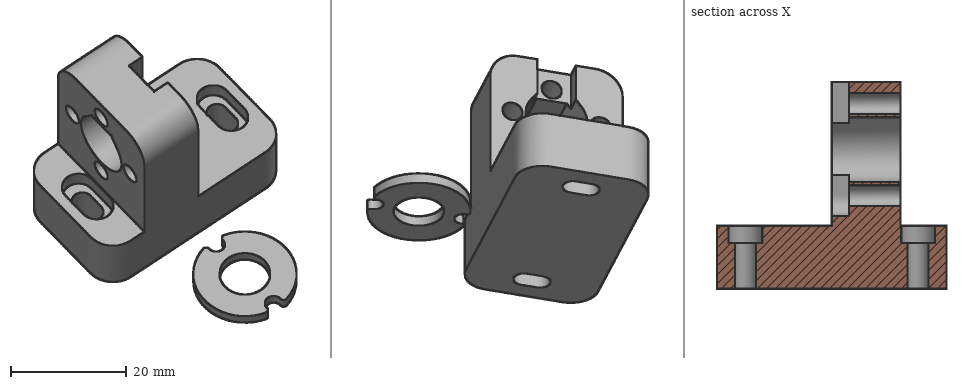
import cadquery as cq
import math

WIDTH = 24.0
BASE_LENGTH = 40.0
BASE_HEIGHT = 11.0
TOTAL_HEIGHT = 36.0
CORNER_RADIUS = 5.0
WALL_FRONT = 8.0
WALL_THICKNESS = 12.0
WALL_BACK = WALL_FRONT + WALL_THICKNESS
CENTER_X = WIDTH / 2

BORE_Z = 24.2
BORE_RADIUS = 5.6
BORE_FLAT_WIDTH = 5.5
SCREW_DIAMETER = 3.6
SCREW_CIRCLE_RADIUS = 8.0
SCREW_COUNT = 4

CHANNEL_WIDTH = 7.0
CHANNEL_DEPTH = 3.0
CHANNEL_CENTER_Z = BORE_Z - SCREW_CIRCLE_RADIUS

SLOT_INSET = 5.0
SLOT_LENGTH = 6.6
SLOT_WIDTH = 3.6
COUNTERBORE_LENGTH = 10.8
COUNTERBORE_WIDTH = 5.8
COUNTERBORE_DEPTH = 3.0

RING_X = 36.95
RING_Y = BASE_LENGTH / 2
RING_RADIUS = 9.0
RING_HOLE_RADIUS = 4.4
RING_THICKNESS = 2.0
NOTCH_WIDTH = 3.0
NOTCH_CENTER_RADIUS = SCREW_CIRCLE_RADIUS
NOTCH_FILLET = 0.65


def make_body():
    base = (
        cq.Workplane("XY")
        .box(WIDTH, BASE_LENGTH, BASE_HEIGHT, centered=False)
        .edges("|Z")
        .fillet(CORNER_RADIUS)
    )
    wall = (
        cq.Workplane("XY", origin=(0, WALL_FRONT, 0))
        .box(WIDTH, WALL_THICKNESS, TOTAL_HEIGHT, centered=False)
        .edges("|Y and >Z")
        .fillet(CORNER_RADIUS)
    )
    return base.union(wall)


def wall_sketch_plane(center_z):
    """XZ plane on the back of the wall; extrusions run toward the front."""
    return cq.Workplane("XZ", origin=(CENTER_X, WALL_BACK, center_z))


def bore_cutter():
    """Round bore whose sides rise along tangents to a flat level with its top."""
    half_flat = BORE_FLAT_WIDTH / 2
    tangent_angle = 2 * math.atan(half_flat / BORE_RADIUS)
    tangent_x = BORE_RADIUS * math.sin(tangent_angle)
    tangent_z = BORE_RADIUS * math.cos(tangent_angle)
    return (
        wall_sketch_plane(BORE_Z)
        .moveTo(-half_flat, BORE_RADIUS)
        .lineTo(half_flat, BORE_RADIUS)
        .lineTo(tangent_x, tangent_z)
        .threePointArc((0, -BORE_RADIUS), (-tangent_x, tangent_z))
        .close()
        .extrude(WALL_THICKNESS)
    )


def screw_hole_cutter():
    return (
        wall_sketch_plane(BORE_Z)
        .polarArray(SCREW_CIRCLE_RADIUS, 0, 360, SCREW_COUNT)
        .circle(SCREW_DIAMETER / 2)
        .extrude(WALL_THICKNESS)
    )


def channel_cutter():
    half_width = CHANNEL_WIDTH / 2
    height = TOTAL_HEIGHT - CHANNEL_CENTER_Z
    return (
        wall_sketch_plane(CHANNEL_CENTER_Z)
        .moveTo(-half_width, height)
        .lineTo(-half_width, 0)
        .threePointArc((0, -half_width), (half_width, 0))
        .lineTo(half_width, height)
        .close()
        .extrude(CHANNEL_DEPTH)
    )


def mounting_slot_cutter(center_y):
    through = (
        cq.Workplane("XY", origin=(CENTER_X, center_y, 0))
        .slot2D(SLOT_LENGTH, SLOT_WIDTH)
        .extrude(BASE_HEIGHT)
    )
    counterbore = (
        cq.Workplane("XY", origin=(CENTER_X, center_y, BASE_HEIGHT - COUNTERBORE_DEPTH))
        .slot2D(COUNTERBORE_LENGTH, COUNTERBORE_WIDTH)
        .extrude(COUNTERBORE_DEPTH)
    )
    return through.union(counterbore)


def make_bracket():
    bracket = make_body().cut(bore_cutter()).cut(screw_hole_cutter()).cut(channel_cutter())
    for center_y in (SLOT_INSET, BASE_LENGTH - SLOT_INSET):
        bracket = bracket.cut(mounting_slot_cutter(center_y))
    return bracket


def make_ring():
    ring = (
        cq.Workplane("XY", origin=(RING_X, RING_Y, 0))
        .circle(RING_RADIUS)
        .circle(RING_HOLE_RADIUS)
        .extrude(RING_THICKNESS)
    )
    notch_inner_radius = NOTCH_CENTER_RADIUS - NOTCH_WIDTH / 2
    notch_length = 2 * (RING_RADIUS - notch_inner_radius)
    for side in (-1, 1):
        notch_x = RING_X + side * RING_RADIUS
        notch = (
            cq.Workplane("XY", origin=(notch_x, RING_Y, 0))
            .slot2D(notch_length, NOTCH_WIDTH)
            .extrude(RING_THICKNESS)
        )
        ring = ring.cut(notch)
    rim_x = math.sqrt(RING_RADIUS**2 - (NOTCH_WIDTH / 2) ** 2)
    for side in (-1, 1):
        for end in (-1, 1):
            corner = (RING_X + side * rim_x, RING_Y + end * NOTCH_WIDTH / 2, RING_THICKNESS / 2)
            ring = ring.edges(cq.selectors.NearestToPointSelector(corner)).fillet(NOTCH_FILLET)
    return ring


bracket = make_bracket()
ring = make_ring()
result = cq.Compound.makeCompound([bracket.val(), ring.val()])